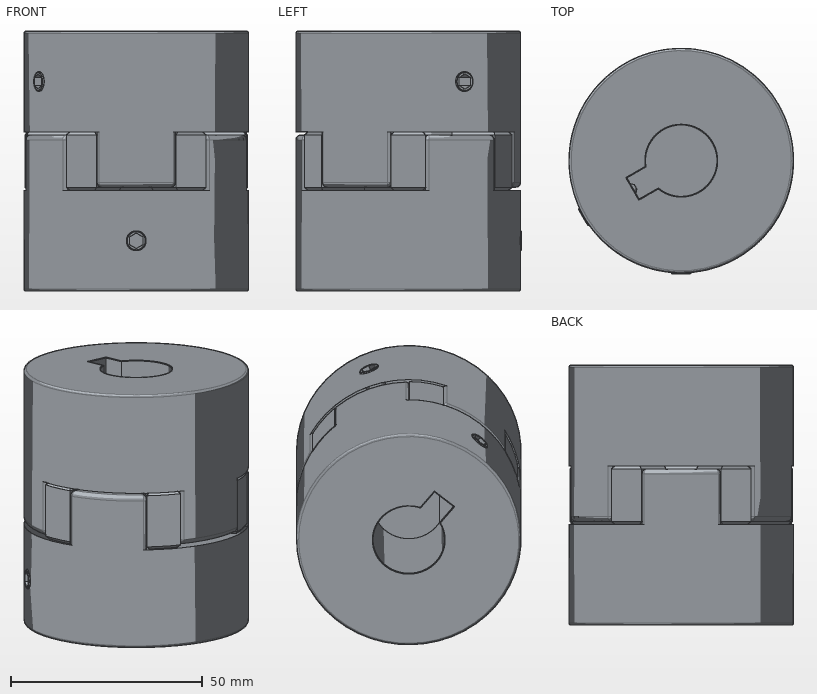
import cadquery as cq
import math

hub_diameter = 58.674
base_length = 26.35
gap_length = 15.24
end_fillet = 0.6
jaw_count = 3
slot_width = 9.04
jaw_clearance = 0.8
jaw_tip_fillet = 1.3
jaw_side_fillet = 0.8

bore_diameter = 18.65
bore_chamfer = 0.2
keyway_width = 6.4
keyway_angle = 210
lower_keyway_angle = 270
keyway_reach = 14.55

spider_diameter = 58.1
spider_core_diameter = 33.0
spider_chamfer = 0.75

screw_diameter = 5.2
screw_outer_reach = 29.59
screw_inner_reach = 13.75
screw_point_chamfer = 1.9
screw_end_chamfer = 0.25
socket_across_flats = 3.5
socket_depth = 6.5

hub_radius = hub_diameter / 2
half_gap = gap_length / 2
screw_height = half_gap + base_length / 2
leg_count = 2 * jaw_count
leg_step = 360 / leg_count


def turned(shape, angle):
    """Turn a shape about the coupling axis."""
    return shape.rotate((0, 0, 0), (0, 0, 1), angle)


def flipped(shape):
    """Turn an upper part end for end, so that its keyway angle becomes the lower one."""
    axis_angle = math.radians((keyway_angle + lower_keyway_angle) / 2)
    axis_end = (math.cos(axis_angle), math.sin(axis_angle), 0)
    return shape.rotate((0, 0, 0), axis_end, 180)


def gap_plane():
    """Workplane on the lower base face, where the gap between the bases starts."""
    return cq.Workplane("XY", origin=(0, 0, -half_gap))


def make_core():
    """Cylinder at the center of the gap, inside the ring of jaws."""
    return gap_plane().circle(spider_core_diameter / 2).extrude(gap_length)


def make_leg_slot():
    """Straight-sided space for one leg along +X."""
    return gap_plane().center(hub_radius, 0).rect(hub_diameter, slot_width).extrude(gap_length)


def make_screw():
    """Socket set screw pointing inward along the keyway."""
    screw = (
        cq.Workplane("YZ")
        .workplane(offset=screw_inner_reach)
        .circle(screw_diameter / 2)
        .extrude(screw_outer_reach - screw_inner_reach)
        .faces("<X")
        .chamfer(screw_point_chamfer)
        .faces(">X")
        .chamfer(screw_end_chamfer)
    )
    socket = (
        cq.Workplane("YZ")
        .workplane(offset=screw_outer_reach - socket_depth)
        .polygon(6, socket_across_flats / math.cos(math.pi / 6))
        .extrude(socket_depth)
        .rotate((0, 0, 0), (1, 0, 0), 90)
    )
    return turned(screw.cut(socket).translate((0, 0, screw_height)), keyway_angle)


def make_sector(start_angle):
    """Wedge around the axis, one leg step wide and reaching past the jaws."""
    start = math.radians(start_angle)
    end = math.radians(start_angle + leg_step)
    reach = 2 * hub_radius
    return (
        gap_plane()
        .lineTo(reach * math.cos(start), reach * math.sin(start))
        .lineTo(reach * math.cos(end), reach * math.sin(end))
        .close()
        .extrude(gap_length)
    )


def is_outer_edge(edge):
    """True for an edge that lies on the outside of the jaws."""
    center = edge.Center()
    return math.hypot(center.x, center.y) > hub_radius - jaw_side_fillet


def make_jaws():
    """Three jaws hanging below the upper base, between the leg slots."""
    jaw_length = gap_length - jaw_clearance
    jaws = (
        cq.Workplane("XY", origin=(0, 0, half_gap - jaw_length))
        .circle(hub_radius)
        .extrude(jaw_length)
        .faces("<Z")
        .edges()
        .fillet(jaw_tip_fillet)
    )
    jaws = jaws.cut(make_core())
    for i in range(jaw_count):
        jaws = jaws.cut(make_sector((2 * i - 1) * leg_step))
    slot = make_leg_slot()
    for i in range(leg_count):
        jaws = jaws.cut(turned(slot, i * leg_step))
    return jaws.edges("|Z").filter(is_outer_edge).fillet(jaw_side_fillet)


def make_bore():
    """Shaft bore with its keyway."""
    base_plane = cq.Workplane("XY", origin=(0, 0, half_gap))
    bore = base_plane.circle(bore_diameter / 2).extrude(base_length)
    keyway = base_plane.center(keyway_reach / 2, 0).rect(keyway_reach, keyway_width).extrude(base_length)
    return bore.union(turned(keyway, keyway_angle))


def make_hub():
    """Upper hub: base with bore, keyway and screw hole, plus its jaws."""
    base = (
        cq.Workplane("XY", origin=(0, 0, half_gap))
        .circle(hub_radius)
        .extrude(base_length)
        .faces(">Z")
        .edges()
        .fillet(end_fillet)
    )
    hub = base.union(make_jaws()).cut(make_bore())
    bore_mouth = hub.faces(">Z").wires(cq.selectors.LengthNthSelector(0))
    hub = bore_mouth.chamfer(bore_chamfer)
    screw_hole = (
        cq.Workplane("YZ", origin=(0, 0, screw_height)).circle(screw_diameter / 2).extrude(hub_diameter)
    )
    return hub.cut(turned(screw_hole, keyway_angle))


def make_spider():
    """Elastic spider: a core with six legs that fill the space between the jaws."""
    spider = make_core()
    leg = make_leg_slot()
    for i in range(leg_count):
        spider = spider.union(turned(leg, i * leg_step))
    envelope = gap_plane().circle(spider_diameter / 2).extrude(gap_length)
    return spider.intersect(envelope).faces("<Z or >Z").edges().chamfer(spider_chamfer)


upper_hub = make_hub()
lower_hub = flipped(upper_hub)
upper_screw = make_screw()
lower_screw = flipped(upper_screw)
spider = make_spider()

result = cq.Compound.makeCompound(
    [upper_hub.val(), lower_hub.val(), spider.val(), upper_screw.val(), lower_screw.val()]
)